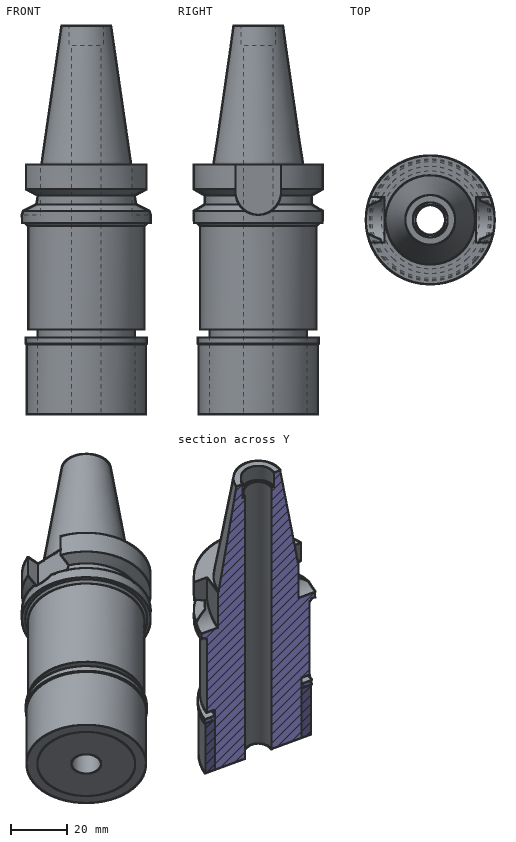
import cadquery as cq

TOTAL_HEIGHT = 138.4
GAUGE_Z = 89.7
FLANGE_TOP_Z = 89.0
UPPER_RIM_Z = 80.1
GROOVE_TOP_Z = 77.9
GROOVE_BOTTOM_Z = 74.7
LOWER_RIM_TOP_Z = 72.4
FLANGE_BOTTOM_Z = 68.1
SHOULDER_BOTTOM_Z = 67.0
BODY_BOTTOM_Z = 30.2
RING_TOP_Z = 27.4
RING_BOTTOM_Z = 24.9

FLANGE_RADIUS = 46.0 / 2
TAPER_TOP_RADIUS = 8.9
TAPER_GAUGE_RADIUS = 15.9
GROOVE_RADIUS = 19.1
SHOULDER_RADIUS = 21.7
BODY_RADIUS = 20.8
NECK_RADIUS = 17.5
RING_RADIUS = 21.6
NUT_RADIUS = 21.3
RING_CHAMFER = RING_RADIUS - NUT_RADIUS

BORE_RADIUS = 5.3
COUNTERBORE_RADIUS = 6.2
COUNTERBORE_DEPTH = 7.0

SLOT_WIDTH = 16.2
SLOT_FLOOR_X = 16.3
SLOT_BOTTOM_Z = 71.0
SLOT_ARC_Z = SLOT_BOTTOM_Z + SLOT_WIDTH / 2
CUT_MARGIN = 1.4


def make_drive_slot(side):
    """Round-bottomed cutter for one drive slot; side is -1 or +1 along X."""
    half_width = SLOT_WIDTH / 2
    cut_depth = FLANGE_RADIUS + CUT_MARGIN - SLOT_FLOOR_X
    return (
        cq.Workplane("YZ", origin=(side * SLOT_FLOOR_X, 0, 0))
        .moveTo(-half_width, FLANGE_TOP_Z)
        .lineTo(-half_width, SLOT_ARC_Z)
        .threePointArc((0, SLOT_BOTTOM_Z), (half_width, SLOT_ARC_Z))
        .lineTo(half_width, FLANGE_TOP_Z)
        .close()
        .extrude(side * cut_depth)
    )


def make_holder():
    """Tapered shank, grooved flange, body and neck, turned as one piece."""
    outline = [
        (BORE_RADIUS, 0),
        (NECK_RADIUS, 0),
        (NECK_RADIUS, BODY_BOTTOM_Z),
        (BODY_RADIUS, BODY_BOTTOM_Z),
        (BODY_RADIUS, SHOULDER_BOTTOM_Z),
        (SHOULDER_RADIUS, FLANGE_BOTTOM_Z),
        (FLANGE_RADIUS, FLANGE_BOTTOM_Z),
        (FLANGE_RADIUS, LOWER_RIM_TOP_Z),
        (GROOVE_RADIUS, GROOVE_BOTTOM_Z),
        (GROOVE_RADIUS, GROOVE_TOP_Z),
        (FLANGE_RADIUS, UPPER_RIM_Z),
        (FLANGE_RADIUS, FLANGE_TOP_Z),
        (TAPER_GAUGE_RADIUS, FLANGE_TOP_Z),
        (TAPER_GAUGE_RADIUS, GAUGE_Z),
        (TAPER_TOP_RADIUS, TOTAL_HEIGHT),
        (COUNTERBORE_RADIUS, TOTAL_HEIGHT),
        (COUNTERBORE_RADIUS, TOTAL_HEIGHT - COUNTERBORE_DEPTH),
        (BORE_RADIUS, TOTAL_HEIGHT - COUNTERBORE_DEPTH),
    ]
    holder = cq.Workplane("XZ").polyline(outline).close().revolve(360, (0, 0), (0, 1))
    for side in (-1, 1):
        holder = holder.cut(make_drive_slot(side))
    return holder


def make_sleeve(outer_radius, bottom_z, top_z):
    """Plain sleeve fitted around the neck."""
    return (
        cq.Workplane("XY", origin=(0, 0, bottom_z))
        .circle(outer_radius)
        .circle(NECK_RADIUS)
        .extrude(top_z - bottom_z)
    )


def make_ring():
    """Thin retaining ring, chamfered down to the nut diameter."""
    ring = make_sleeve(RING_RADIUS, RING_BOTTOM_Z, RING_TOP_Z)
    outer_bottom_edge = cq.selectors.RadiusNthSelector(-1)
    return ring.faces("<Z").edges(outer_bottom_edge).chamfer(RING_CHAMFER)


def make_nut():
    """Clamping nut between the bottom face and the retaining ring."""
    return make_sleeve(NUT_RADIUS, 0, RING_BOTTOM_Z)


holder = make_holder()
ring = make_ring()
nut = make_nut()

result = cq.Compound.makeCompound([holder.solids().val(), ring.solids().val(), nut.val()])